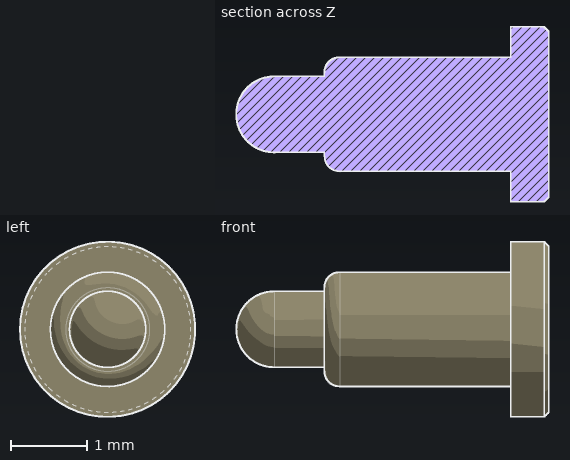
import cadquery as cq

total_length = 4.1
plunger_diameter = 1.0
barrel_diameter = 1.5
barrel_edge_radius = 0.2
flange_diameter = 2.3
flange_thickness = 0.5
flange_chamfer = 0.06
barrel_start = 1.155

flange_start = total_length - flange_thickness
plunger_radius = plunger_diameter / 2


def cylinder_along_x(diameter, start, end):
    """Solid cylinder on the X axis between two stations."""
    return cq.Workplane("YZ", origin=(start, 0, 0)).circle(diameter / 2).extrude(end - start)


plunger_rod = cylinder_along_x(plunger_diameter, plunger_radius, flange_start)
plunger_tip = cq.Workplane("XY", origin=(plunger_radius, 0, 0)).sphere(plunger_radius)
plunger = plunger_rod.union(plunger_tip)

barrel = cylinder_along_x(barrel_diameter, barrel_start, flange_start)
barrel = barrel.faces("<X").edges().fillet(barrel_edge_radius)

flange = cylinder_along_x(flange_diameter, flange_start, total_length)
flange = flange.faces(">X").edges().chamfer(flange_chamfer)

result = barrel.union(flange).union(plunger)